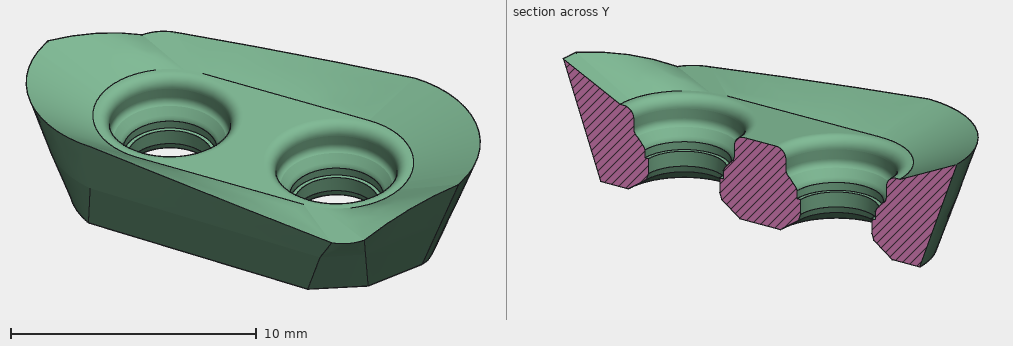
import cadquery as cq
import math

length = 19.4
width = 10.22
height = 5.0
flank_break_z = 2.56
corner_z = 3.75
bottom_half_length = 7.85

floor_z = 3.67
hole_offset = 3.75
floor_radius = 3.15
floor_corner_angle = -75.4
floor_tip_angle = -11.0

mouth_round = 0.5
seat_radius = 2.46
seat_depth = 0.93
cone_top_radius = 2.29
cone_top_depth = 1.25
neck_round_radius = 2.02
neck_round_depth = 1.55
neck_radius = 1.92
neck_top_depth = 1.73
neck_bottom_depth = 2.08
bore_radius = 1.75
bore_bottom_depth = 2.74
flare_radius = 1.85
flare_depth = 3.03
exit_radius = 2.75

bottom_end = cq.Vector(bottom_half_length, 0, 0)
bottom_side_start = cq.Vector(-5.72, -3.59, 0)
bottom_side_stop = cq.Vector(4.27, -3.86, 0)
bottom_corner = cq.Vector(6.4, -2.62, 0)
bottom_tip = cq.Vector(7.76, -0.35, 0)

edge_end = cq.Vector(length / 2, 0, height)
edge_side_start = cq.Vector(-4.95, -4.93, height)
edge_side_middle = cq.Vector(1.4, -5.08, 4.29)
edge_side_stop = cq.Vector(5.94, -width / 2, corner_z)
edge_corner_middle = cq.Vector(6.55, -4.87, corner_z)
edge_corner = cq.Vector(7.06, -4.38, corner_z)
edge_flat_middle = cq.Vector(8.83, -1.98, 4.8)
edge_tip = cq.Vector(9.65, -0.85, height)

break_side_start = cq.Vector(-5.2, -4.54, flank_break_z)
break_side_stop = cq.Vector(5.25, -4.8, flank_break_z)


def between(low, high):
    """Point where the straight line from low to high crosses the flank break level."""
    return low + (high - low) * ((flank_break_z - low.z) / (high.z - low.z))


def end_arc(end, stop):
    """Arc at the left end: leaves the X axis opposite `end` at a right angle and runs to `stop`."""
    start = cq.Vector(-end.x, 0, end.z)
    return cq.Edge.makeTangentArc(start, cq.Vector(0, -1, 0), stop)


def chain(points):
    """Straight edges through the points."""
    return [cq.Edge.makeLine(a, b) for a, b in zip(points, points[1:])]


def floor_point(angle):
    """Point on the right-hand end round of the floor outline."""
    x = hole_offset + floor_radius * math.cos(math.radians(angle))
    return cq.Vector(x, floor_radius * math.sin(math.radians(angle)), floor_z)


def floor_arc(start_angle, stop_angle):
    """Piece of the right-hand end round of the floor outline."""
    middle = floor_point((start_angle + stop_angle) / 2)
    return cq.Edge.makeThreePointArc(floor_point(start_angle), middle, floor_point(stop_angle))


bottom_edges = [end_arc(bottom_end, bottom_side_start)] + chain(
    [bottom_side_start, bottom_side_stop, bottom_corner, bottom_tip, bottom_end]
)

break_edges = [end_arc(between(bottom_end, edge_end), break_side_start)] + chain(
    [
        break_side_start,
        break_side_stop,
        between(bottom_corner, edge_corner),
        between(bottom_tip, edge_tip),
        between(bottom_end, edge_end),
    ]
)

cutting_edges = [
    end_arc(edge_end, edge_side_start),
    cq.Edge.makeThreePointArc(edge_side_start, edge_side_middle, edge_side_stop),
    cq.Edge.makeThreePointArc(edge_side_stop, edge_corner_middle, edge_corner),
    cq.Edge.makeThreePointArc(edge_corner, edge_flat_middle, edge_tip),
    cq.Edge.makeLine(edge_tip, edge_end),
]

floor_side_start = cq.Vector(-hole_offset, -floor_radius, floor_z)
floor_end_angles = [-90, floor_corner_angle, floor_tip_angle, 0]
floor_edges = [
    end_arc(floor_point(0), floor_side_start),
    cq.Edge.makeLine(floor_side_start, floor_point(-90)),
] + [floor_arc(a, b) for a, b in zip(floor_end_angles, floor_end_angles[1:])]


def half_turn(shape):
    """Copy of the shape turned half way round Z."""
    return shape.rotate(cq.Vector(0, 0, 0), cq.Vector(0, 0, 1), 180)


def both_halves(shapes):
    """The shapes together with their half-turn copies."""
    return shapes + [half_turn(shape) for shape in shapes]


def flat_face(half_edges):
    """Planar face bounded by a half outline and its half-turn copy."""
    return cq.Face.makeFromWires(cq.Wire.assembleEdges(both_halves(half_edges)))


def make_body():
    """Flanks, rake faces, floor and bottom, sewn into a solid without holes."""
    levels = [bottom_edges, break_edges, cutting_edges, floor_edges]
    half_faces = []
    for lower, upper in zip(levels, levels[1:]):
        half_faces += [cq.Face.makeRuledSurface(a, b) for a, b in zip(lower, upper)]
    faces = both_halves(half_faces) + [flat_face(bottom_edges), flat_face(floor_edges)]
    return cq.Workplane(cq.Solid.makeSolid(cq.Shell.makeShell(faces)).fix())


def make_hole_cutter():
    """Screw hole on the Z axis: rounded mouth, seat, cone, neck, bore and an exit flared in two steps."""
    return (
        cq.Workplane("XZ")
        .moveTo(0, floor_z)
        .lineTo(seat_radius + mouth_round, floor_z)
        .radiusArc((seat_radius, floor_z - mouth_round), -mouth_round)
        .lineTo(seat_radius, floor_z - seat_depth)
        .tangentArcPoint((cone_top_radius, floor_z - cone_top_depth), relative=False)
        .lineTo(neck_round_radius, floor_z - neck_round_depth)
        .tangentArcPoint((neck_radius, floor_z - neck_top_depth), relative=False)
        .lineTo(neck_radius, floor_z - neck_bottom_depth)
        .lineTo(bore_radius, floor_z - neck_bottom_depth)
        .lineTo(bore_radius, floor_z - bore_bottom_depth)
        .lineTo(flare_radius, floor_z - flare_depth)
        .lineTo(exit_radius, 0)
        .lineTo(0, 0)
        .close()
        .revolve(360, (0, 0), (0, 1))
    )


insert = make_body()
hole_cutter = make_hole_cutter()
for x in (-hole_offset, hole_offset):
    insert = insert.cut(hole_cutter.translate((x, 0, 0)))

result = insert.solids()